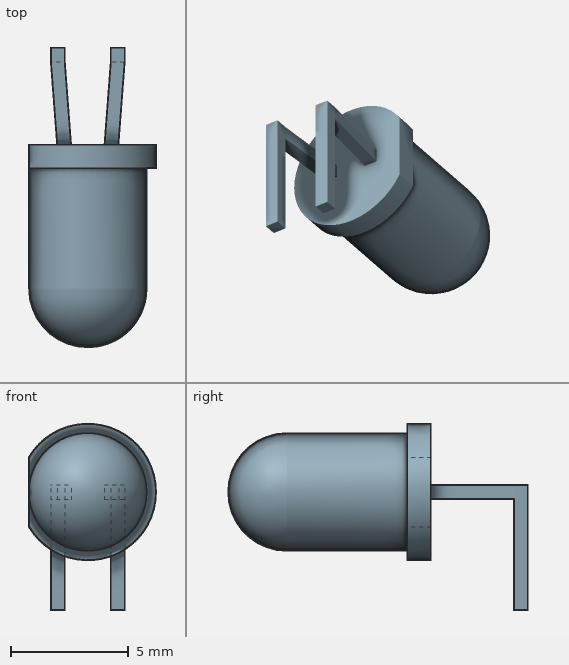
import cadquery as cq

total_length = 12.71
lens_diameter = 5.0
flange_diameter = 5.8
flange_thickness = 1.0
barrel_length = 5.1
overall_height = 7.9

lead_width = 0.6
lead_root_offset = 1.0
lead_tip_offset = 1.27

lens_radius = lens_diameter / 2
flange_radius = flange_diameter / 2
flange_back = barrel_length + flange_thickness
lead_end = total_length - lens_radius
leg_front = lead_end - lead_width
leg_bottom = flange_radius - overall_height


def make_lens():
    """Barrel along Y with a hemispherical nose; Y = 0 is the dome seam."""
    return (
        cq.Workplane("XY")
        .moveTo(0, -lens_radius)
        .radiusArc((lens_radius, 0), -lens_radius)
        .lineTo(lens_radius, flange_back)
        .lineTo(0, flange_back)
        .close()
        .revolve(360, (0, 0, 0), (0, 1, 0))
    )


def make_flange():
    """Round flange with a flat on the -X side, tangent to the barrel."""
    disc = (
        cq.Workplane("XZ", origin=(0, barrel_length, 0))
        .circle(flange_radius)
        .extrude(-flange_thickness)
    )
    keep = cq.Workplane("XY").box(
        lens_radius + flange_radius, flange_thickness, flange_diameter, centered=(False, False, True)
    ).translate((-lens_radius, barrel_length, 0))
    return disc.intersect(keep)


def make_lead(side):
    """Splayed arm and vertical leg; side is -1 or +1 along X."""
    root = side * lead_root_offset
    tip = side * lead_tip_offset
    half = lead_width / 2
    arm = (
        cq.Workplane("XY", origin=(0, 0, -half))
        .polyline([
            (root - half, flange_back),
            (root + half, flange_back),
            (tip + half, leg_front),
            (tip + half, lead_end),
            (tip - half, lead_end),
            (tip - half, leg_front),
        ])
        .close()
        .extrude(lead_width)
    )
    leg = (
        cq.Workplane("XY", origin=(tip, leg_front + half, leg_bottom))
        .rect(lead_width, lead_width)
        .extrude(half - leg_bottom)
    )
    return arm.union(leg)


result = make_lens().union(make_flange())
for side in (-1, 1):
    result = result.union(make_lead(side))